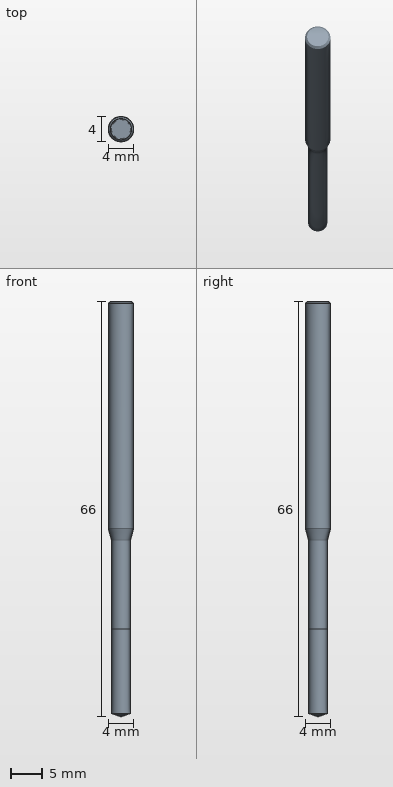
import cadquery as cq
import math

total_length = 66.0
shank_radius = 4.0 / 2
neck_radius = 3.05 / 2
cutter_radius = neck_radius

cutter_top = 14.0
shank_bottom = 29.95

point_angle = 140.0
taper_half_angle = 15.0
chamfer_size = 0.3

point_height = cutter_radius / math.tan(math.radians(point_angle / 2))
taper_height = (shank_radius - neck_radius) / math.tan(math.radians(taper_half_angle))


def revolve_profile(points):
    """Turn a closed (radius, height) outline about the Z axis."""
    return cq.Workplane("XZ").polyline(points).close().revolve(360, (0, 0, 0), (0, 1, 0))


def make_cutter():
    """Cylindrical cutting head with a conical drill point."""
    return revolve_profile([
        (0, 0),
        (cutter_radius, point_height),
        (cutter_radius, cutter_top),
        (0, cutter_top),
    ])


def make_holder():
    """Slim neck, taper and shank with a chamfered top end."""
    return revolve_profile([
        (0, cutter_top),
        (neck_radius, cutter_top),
        (neck_radius, shank_bottom - taper_height),
        (shank_radius, shank_bottom),
        (shank_radius, total_length - chamfer_size),
        (shank_radius - chamfer_size, total_length),
        (0, total_length),
    ])


cutter = make_cutter()
holder = make_holder()

result = cq.Compound.makeCompound([cutter.val(), holder.val()])